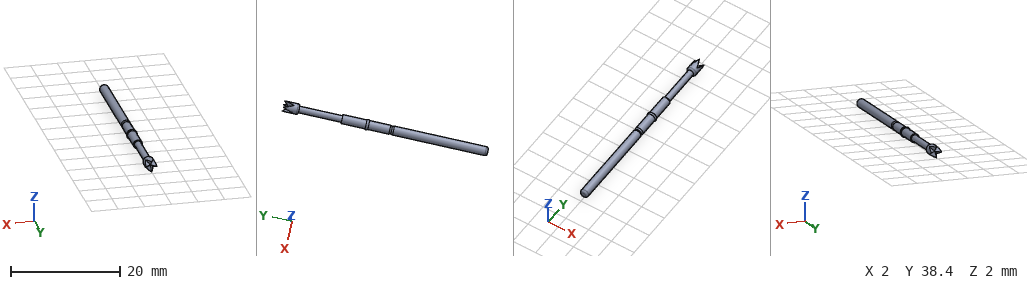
import cadquery as cq
import math

total_length = 38.4

barrel_radius = 0.86
barrel_length = 27.4
rear_round = 0.45
ring_radius = 1.0
ring_rear = 22.4
ring_width = 0.5
groove_center = 18.1
groove_width = 0.7
groove_depth = 0.15

plunger_radius = 0.64
head_radius = 1.0
head_length = 2.95
head_round = head_radius - plunger_radius

tooth_count = 4
valley_depth_at_axis = 1.0
valley_depth_at_rim = 1.85

round_middle_share = 1 - math.sqrt(0.5)


def make_barrel():
    """Barrel with a rounded rear end, a bulged press ring and a V groove."""
    groove_rear = groove_center - groove_width / 2
    groove_front = groove_center + groove_width / 2
    ring_front = ring_rear + ring_width
    round_middle = rear_round * round_middle_share
    profile = (
        cq.Workplane("XY")
        .lineTo(barrel_radius - rear_round, 0)
        .threePointArc((barrel_radius - round_middle, round_middle), (barrel_radius, rear_round))
        .lineTo(barrel_radius, groove_rear)
        .lineTo(barrel_radius - groove_depth, groove_center)
        .lineTo(barrel_radius, groove_front)
        .lineTo(barrel_radius, ring_rear)
        .threePointArc((ring_radius, ring_rear + ring_width / 2), (barrel_radius, ring_front))
        .lineTo(barrel_radius, barrel_length)
        .lineTo(0, barrel_length)
        .close()
    )
    return profile.revolve(360, (0, 0, 0), (0, 1, 0))


def make_plunger():
    """Plunger rod and its wider head, rounded down to the rod at the back, before the crown is cut."""
    head_rear = total_length - head_length
    round_middle = head_round * round_middle_share
    profile = (
        cq.Workplane("XY")
        .moveTo(0, barrel_length)
        .lineTo(plunger_radius, barrel_length)
        .lineTo(plunger_radius, head_rear)
        .threePointArc(
            (head_radius - round_middle, head_rear + round_middle),
            (head_radius, head_rear + head_round),
        )
        .lineTo(head_radius, total_length)
        .lineTo(0, total_length)
        .close()
    )
    return profile.revolve(360, (0, 0, 0), (0, 1, 0))


def make_notch(angle):
    """V notch pointing along +X, then turned by angle about the probe axis.

    The two walls pass through the tips of the neighbouring teeth.
    """
    half_pitch = math.pi / tooth_count
    valley_slope = (valley_depth_at_rim - valley_depth_at_axis) / head_radius
    tip_reach = head_radius * math.cos(half_pitch)
    tip_offset = head_radius * math.sin(half_pitch)
    wall_slope = (valley_depth_at_axis + valley_slope * tip_reach) / tip_offset

    run = 2 * head_radius
    cutter_height = valley_depth_at_axis + valley_slope * run
    half_width = cutter_height / wall_slope
    valley_y = total_length - valley_depth_at_axis
    top_y = valley_y + cutter_height
    section = cq.Wire.makePolygon(
        [
            cq.Vector(0, valley_y, 0),
            cq.Vector(0, top_y, half_width),
            cq.Vector(0, top_y, -half_width),
        ],
        close=True,
    )
    notch = cq.Solid.extrudeLinear(section, [], cq.Vector(run, -valley_slope * run, 0))
    return notch.rotate(cq.Vector(0, 0, 0), cq.Vector(0, 1, 0), angle)


result = make_barrel().union(make_plunger())
tooth_pitch = 360 / tooth_count
for index in range(tooth_count):
    result = result.cut(cq.Workplane(obj=make_notch((index + 0.5) * tooth_pitch)))